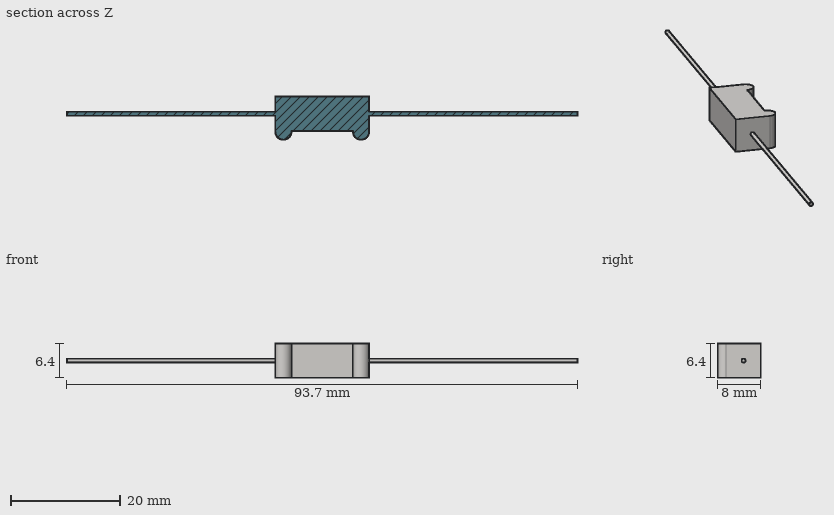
import cadquery as cq

total_length = 93.7
body_length = 17.2
body_height = 6.4
overall_depth = 8.0

lead_diameter = 0.75
foot_radius = 1.5
body_depth = 6.4

back_y = body_depth / 2
foot_axis_y = back_y - overall_depth + foot_radius
foot_axis_x = body_length / 2 - foot_radius


def make_block():
    """Rectangular block centred on the lead axis."""
    return cq.Workplane("XY").box(body_length, body_depth, body_height)


def make_foot(side):
    """Round-nosed standoff flush with one end of the block."""
    foot_width = 2 * foot_radius
    neck_length = back_y - foot_axis_y
    neck = (
        cq.Workplane("XY")
        .box(foot_width, neck_length, body_height)
        .translate((side * foot_axis_x, (back_y + foot_axis_y) / 2, 0))
    )
    nose = (
        cq.Workplane("XY", origin=(side * foot_axis_x, foot_axis_y, -body_height / 2))
        .circle(foot_radius)
        .extrude(body_height)
    )
    return neck.union(nose)


def make_lead():
    """Straight round wire running through the block along X."""
    return (
        cq.Workplane("YZ", origin=(-total_length / 2, 0, 0))
        .circle(lead_diameter / 2)
        .extrude(total_length)
    )


result = make_block().union(make_lead())
for side in (-1, 1):
    result = result.union(make_foot(side))